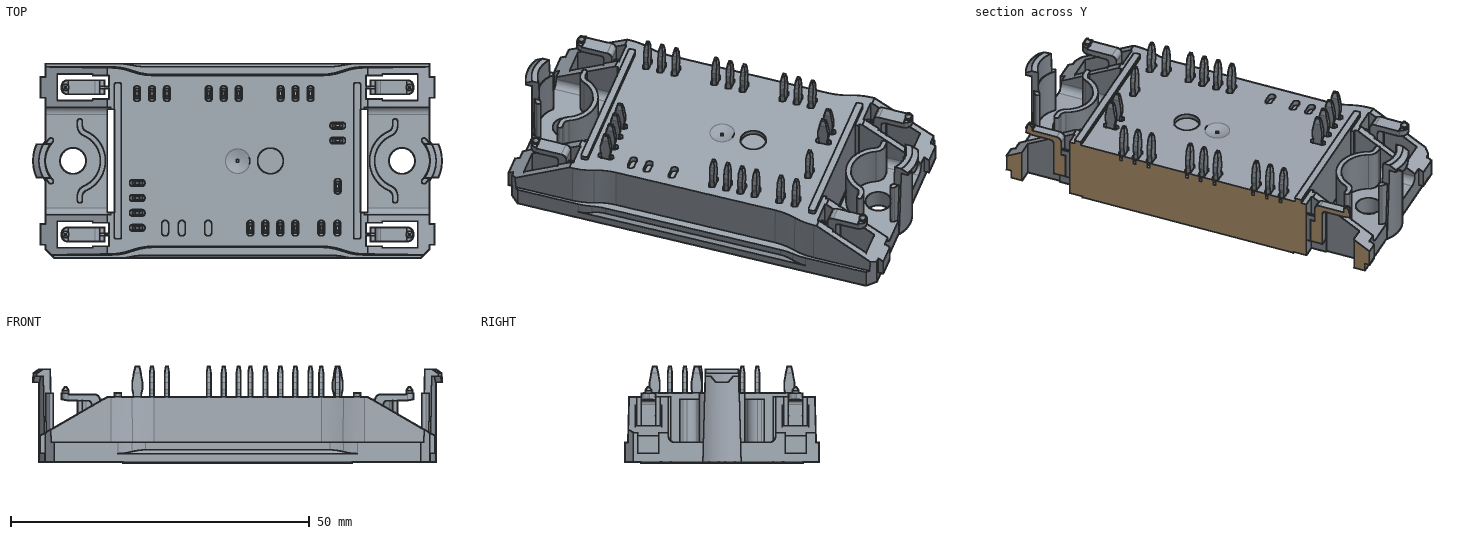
import cadquery as cq
import math

plate_thickness = 0.2
flange_top = 3.5
case_top = 11.13
pin_top = 16.23

plate_length = 38.3
plate_width = 27.1

half_length = 32.1
flange_half_width = 16.25
upper_half_width = 15.75
waist_half_width = 14.45
waist_half_length = 14.0
shoulder_half_length = 21.2
corner_chamfer = 1.45
draft_angle = 1.5
end_allowance = 1.0

recess_depth = flange_half_width - upper_half_width
recess_floor_half_length = 15.4
recess_half_length = 20.0
recess_bottom = 1.65
recess_ledge = 2.27

end_deck_height = 5.15
deck_angle = 30

hole_x = -27.5
hole_diameter = 4.3
bay_half_width = 9.0
bay_inner_x = -21.2
bay_fillet = 1.2
slit_outer_x = -21.75
slit_half_width = 8.6

window_outer_x = -30.1
window_inner_x = -21.5
window_width = 4.4
window_step_x = -24.2
window_neck_width = 3.9
window_y = 12.3

arm_width = 2.4
arm_tip_x = -29.45
arm_top = 11.54
arm_thickness = 1.05
tip_rise = 0.22
tip_bend_x = -28.3
leg_outer_x = -24.4
leg_inner_x = -23.0
leg_bend_inner_radius = 0.6
leg_bend_outer_radius = 0.9
leg_foot_x = -22.2
leg_foot_top = 8.0
arm_tip_radius = 1.1
leg_rib_thickness = 0.4
leg_rib_top = 9.0
peg_x = -28.75
peg_diameter = 1.1
peg_shoulder = 12.15
peg_top = 12.8
peg_tip_diameter = 0.3

tab_reach = 0.87
tab_width = 3.5
tab_bottom = 1.7

latch_inner_radius = 4.7
latch_outer_radius = 5.7
latch_top = 15.75
latch_foot_half_width = 3.2
latch_head_half_width = 2.78
hook_radius = 6.7
hook_bottom = 14.6
hook_edge_top = 15.05
hook_nib_bottom = 13.55
nib_top_half_width = 1.9
nib_bottom_half_width = 1.0
wing_height = 11.75
wing_radius = 5.03
wing_thickness = 0.8
wing_end_y = 3.43
guide_radius = 5.0
guide_thickness = 0.85
guide_top = 10.75
guide_arc_angle = 66.5
guide_bend_radius = 1.4
guide_tail_end = 6.6

ridge_x = 20.0
ridge_width = 1.2
ridge_length = 26.1
ridge_top = 11.8
ridge_corner_radius = 0.35

dish_diameter = 4.1
dish_depth = 0.4
gate_hole_diameter = 0.5
gate_hole_depth = 1.0
pocket_x = 5.5
pocket_diameter = 4.3
pocket_depth = 0.8

socket_length = 2.6
socket_width = 1.15
socket_depth = 1.0
pin_thickness = 0.76
pin_width = 1.4
pin_bulge_width = 1.75
pin_shoulder_width = 1.2
pin_tip_width = 0.7
pin_tip_thickness = 0.4
pin_bulge_start = 11.7
pin_bulge_low = 12.4
pin_bulge_high = 13.6
pin_bulge_end = 14.5
pin_shoulder = 15.2

pin_column_x = 16.75
pin_row_y = 11.25
pins_along_y = (
    [(x, pin_row_y) for x in (-16.8, -14.3, -11.8, -4.8, -2.3, 0.2, 7.2, 9.7, 12.2)]
    + [(x, -pin_row_y) for x in (2.15, 4.65, 7.15, 9.65, 14.0, 16.7)]
    + [(pin_column_x, -4.25)]
)
pins_along_x = (
    [(-pin_column_x, y) for y in (-3.7, -6.2, -8.7, -11.2)]
    + [(pin_column_x, y) for y in (5.9, 3.4)]
)
empty_sockets = [(x, -pin_row_y) for x in (-12.1, -9.3, -4.9)]


def box(x_range, y_range, z_range):
    """Box between two limits along each axis."""
    size = [high - low for low, high in (x_range, y_range, z_range)]
    corner = (x_range[0], y_range[0], z_range[0])
    return cq.Workplane("XY").box(*size, centered=False).translate(corner)


def cylinder(x, y, diameter, z_low, z_high):
    """Upright cylinder."""
    return cq.Workplane("XY", origin=(x, y, z_low)).circle(diameter / 2).extrude(z_high - z_low)


def prism_along_y(points, half_width, y=0):
    """XZ polygon extruded both ways along Y about the given Y."""
    profile = cq.Workplane("XZ", origin=(0, y, 0)).polyline(points).close()
    return profile.extrude(half_width, both=True)


def prism_along_x(points, x_low, x_high):
    """YZ polygon extruded from one X to another."""
    return cq.Workplane("YZ", origin=(x_low, 0, 0)).polyline(points).close().extrude(x_high - x_low)


def both_sides(solid):
    """The solid and its mirror image in the XZ plane."""
    return solid.union(solid.mirror("XZ"))


def both_ends(solid):
    """The solid and its mirror image in the YZ plane."""
    return solid.union(solid.mirror("YZ"))


def deck_height(x):
    """Height of the sloping deck at a place on the -X end."""
    return end_deck_height + (x + half_length) * math.tan(math.radians(deck_angle))


def footprint_block(z_low, z_high):
    """Block with the flange footprint: a rectangle with its two -Y corners cut off."""
    body = box(
        (-half_length, half_length), (-flange_half_width, flange_half_width), (z_low, z_high)
    )
    return body.edges("|Z and <Y").chamfer(corner_chamfer)


def s_curve(sketch, start, end):
    """Two equal arcs between points, running along X at both ends and tangent halfway."""
    step_x = end[0] - start[0]
    step_y = end[1] - start[1]
    radius = (step_x**2 + step_y**2) / (4 * abs(step_y))
    half_sweep = math.atan2(abs(step_y), abs(step_x))
    bulge_x = math.copysign(radius * math.sin(half_sweep), step_x)
    bulge_y = math.copysign(radius * (1 - math.cos(half_sweep)), step_y)
    middle = (start[0] + step_x / 2, start[1] + step_y / 2)
    sketch = sketch.threePointArc((start[0] + bulge_x, start[1] + bulge_y), middle)
    return sketch.threePointArc((end[0] - bulge_x, end[1] - bulge_y), end)


def upper_body():
    """Waisted upper case: drafted long sides that swing in on S curves, upright ends."""
    shoulder_x, shoulder_y = shoulder_half_length, upper_half_width
    waist_x, waist_y = waist_half_length, waist_half_width
    uncut_end_x = half_length + end_allowance

    outline = cq.Workplane("XY", origin=(0, 0, flange_top)).moveTo(-uncut_end_x, shoulder_y)
    outline = outline.lineTo(-shoulder_x, shoulder_y)
    outline = s_curve(outline, (-shoulder_x, shoulder_y), (-waist_x, waist_y))
    outline = outline.lineTo(waist_x, waist_y)
    outline = s_curve(outline, (waist_x, waist_y), (shoulder_x, shoulder_y))
    outline = outline.lineTo(uncut_end_x, shoulder_y).lineTo(uncut_end_x, -shoulder_y)
    outline = outline.lineTo(shoulder_x, -shoulder_y)
    outline = s_curve(outline, (shoulder_x, -shoulder_y), (waist_x, -waist_y))
    outline = outline.lineTo(-waist_x, -waist_y)
    outline = s_curve(outline, (-waist_x, -waist_y), (-shoulder_x, -shoulder_y))
    outline = outline.lineTo(-uncut_end_x, -shoulder_y).close()
    drafted = outline.extrude(case_top - flange_top, taper=draft_angle)
    return drafted.intersect(footprint_block(flange_top, case_top))


def side_recess():
    """Cutter for the grip recess of the +Y side, with a sloping lower ledge."""
    floor_x, floor_y = recess_floor_half_length, flange_half_width - recess_depth
    edge_x, edge_y = recess_half_length, flange_half_width

    outline = cq.Workplane("XY", origin=(0, 0, recess_bottom)).moveTo(-floor_x, floor_y)
    outline = s_curve(outline.lineTo(floor_x, floor_y), (floor_x, floor_y), (edge_x, edge_y))
    outline = outline.lineTo(-edge_x, edge_y)
    outline = s_curve(outline, (-edge_x, edge_y), (-floor_x, floor_y))
    cutter = outline.close().extrude(flange_top - recess_bottom)

    ledge = [(floor_y, recess_bottom), (flange_half_width, recess_bottom), (floor_y, recess_ledge)]
    return cutter.cut(prism_along_x(ledge, -recess_half_length, recess_half_length))


def deck_slope():
    """Cutter that slopes the -X end of the upper case."""
    deck_start_x = -half_length + (case_top - end_deck_height) / math.tan(math.radians(deck_angle))
    points = [
        (-half_length, end_deck_height),
        (deck_start_x, case_top),
        (-half_length, case_top),
    ]
    return prism_along_y(points, flange_half_width)


def screw_bay():
    """Cutter for the open bay, its screw hole and the slit that runs up to the ridge."""
    bay = box(
        (-half_length, bay_inner_x), (-bay_half_width, bay_half_width), (flange_top, case_top)
    )
    bay = bay.edges("|X and <Z").fillet(bay_fillet)
    ridge_outer_x = -ridge_x - ridge_width / 2
    slit = box(
        (slit_outer_x, ridge_outer_x), (-slit_half_width, slit_half_width), (0, case_top)
    )
    return bay.union(slit).union(cylinder(hole_x, 0, hole_diameter, 0, flange_top))


def window():
    """Cutter for the deck window of the +Y arm, narrower around the arm's leg."""
    half_width = window_width / 2
    half_neck = window_neck_width / 2
    opening = box(
        (window_outer_x, window_step_x), (window_y - half_width, window_y + half_width), (0, case_top)
    )
    neck = box(
        (window_step_x, window_inner_x), (window_y - half_neck, window_y + half_neck), (0, case_top)
    )
    return opening.union(neck)


def spring_arm():
    """Bent arm with a pointed peg, carried by a thin rib from the case wall."""
    arm_bottom = arm_top - arm_thickness
    bend_inner_x = leg_outer_x - leg_bend_inner_radius
    arm = (
        cq.Workplane("XZ", origin=(0, window_y, 0))
        .moveTo(arm_tip_x, arm_bottom + tip_rise)
        .lineTo(arm_tip_x, arm_top + tip_rise)
        .lineTo(tip_bend_x, arm_top + tip_rise)
        .lineTo(tip_bend_x, arm_top)
        .lineTo(leg_inner_x - leg_bend_outer_radius, arm_top)
        .tangentArcPoint((leg_inner_x, arm_top - leg_bend_outer_radius), relative=False)
        .lineTo(leg_inner_x, leg_foot_top)
        .lineTo(leg_foot_x, leg_foot_top)
        .lineTo(leg_foot_x, flange_top)
        .lineTo(leg_outer_x, flange_top)
        .lineTo(leg_outer_x, arm_bottom - leg_bend_inner_radius)
        .tangentArcPoint((bend_inner_x, arm_bottom), relative=False)
        .lineTo(tip_bend_x, arm_bottom)
        .close()
        .extrude(arm_width / 2, both=True)
    )
    arm = arm.edges("|Z and <X").fillet(arm_tip_radius)
    rib = box(
        (leg_outer_x, window_inner_x),
        (window_y - leg_rib_thickness / 2, window_y + leg_rib_thickness / 2),
        (flange_top, leg_rib_top),
    )
    peg = cylinder(peg_x, window_y, peg_diameter, arm_top, peg_top)
    tip_chamfer = (peg_diameter - peg_tip_diameter) / 2
    peg = peg.faces(">Z").chamfer(peg_top - peg_shoulder, tip_chamfer)
    return arm.union(rib).union(peg)


def end_tab():
    """Tab on the end face whose top continues the deck slope."""
    tip_x = -half_length - tab_reach
    points = [
        (-half_length, tab_bottom),
        (-half_length, end_deck_height),
        (tip_x, deck_height(tip_x)),
        (tip_x, tab_bottom),
    ]
    return prism_along_y(points, tab_width / 2, window_y)


def ring_about_hole(points):
    """Radius-height polygon revolved about the screw hole axis."""
    profile = cq.Workplane("XZ").polyline(points).close()
    return profile.revolve(360, (0, 0), (0, 1)).translate((hole_x, 0, 0))


def tapered_slice(foot_half_width, foot_z, head_half_width, head_z):
    """Upright wedge on the -X side of the screw hole, used to trim rings."""
    points = [
        (-foot_half_width, foot_z),
        (foot_half_width, foot_z),
        (head_half_width, head_z),
        (-head_half_width, head_z),
    ]
    return prism_along_x(points, hole_x - hook_radius, hole_x)


def latch():
    """Curved latch with an outward hook, a nib below it and two lower wings."""
    wall_and_hook = ring_about_hole([
        (latch_inner_radius, plate_thickness),
        (latch_outer_radius, plate_thickness),
        (latch_outer_radius, hook_bottom),
        (hook_radius, hook_bottom),
        (hook_radius, hook_edge_top),
        (latch_outer_radius, latch_top),
        (latch_inner_radius, latch_top),
    ])
    wall_and_hook = wall_and_hook.intersect(
        tapered_slice(latch_foot_half_width, plate_thickness, latch_head_half_width, latch_top)
    )
    nib = ring_about_hole([
        (latch_inner_radius, hook_nib_bottom),
        (hook_radius, hook_nib_bottom),
        (hook_radius, hook_bottom),
        (latch_inner_radius, hook_bottom),
    ])
    nib = nib.intersect(
        tapered_slice(nib_bottom_half_width, hook_nib_bottom, nib_top_half_width, hook_bottom)
    )
    wing_end_x = hole_x - math.sqrt(wing_radius**2 - wing_end_y**2)
    wings = (
        cq.Workplane("XY", origin=(0, 0, plate_thickness))
        .moveTo(wing_end_x, wing_end_y)
        .threePointArc((hole_x - wing_radius, 0), (wing_end_x, -wing_end_y))
        .offset2D(wing_thickness / 2)
        .extrude(wing_height - plate_thickness)
    )
    return wall_and_hook.union(nib).union(wings)


def guide_wall():
    """Wall that wraps around the screw head and flares into two straight tails."""
    angle = math.radians(guide_arc_angle)
    join = (hole_x + guide_radius * math.cos(angle), guide_radius * math.sin(angle))
    tail_x = join[0] - guide_bend_radius * (1 - math.cos(angle))
    tail_y = join[1] + guide_bend_radius * math.sin(angle)
    path = (
        cq.Workplane("XY", origin=(0, 0, plate_thickness))
        .moveTo(tail_x, guide_tail_end)
        .lineTo(tail_x, tail_y)
        .tangentArcPoint(join, relative=False)
        .threePointArc((hole_x + guide_radius, 0), (join[0], -join[1]))
        .tangentArcPoint((tail_x, -tail_y), relative=False)
        .lineTo(tail_x, -guide_tail_end)
    )
    return path.offset2D(guide_thickness / 2).extrude(guide_top - plate_thickness)


def ridge():
    return (
        cq.Workplane("XY", origin=(-ridge_x, 0, case_top))
        .rect(ridge_width, ridge_length)
        .extrude(ridge_top - case_top)
        .edges("|Z")
        .fillet(ridge_corner_radius)
    )


def dish():
    """Cutter for the shallow spherical mark with a small hole at its centre."""
    half = dish_diameter / 2
    sphere_radius = (half**2 + dish_depth**2) / (2 * dish_depth)
    ball = cq.Workplane("XY").sphere(sphere_radius)
    ball = ball.translate((0, 0, case_top - dish_depth + sphere_radius))
    return ball.union(cylinder(0, 0, gate_hole_diameter, case_top - gate_hole_depth, case_top))


def sockets(points, angle):
    """Cutter for rounded pin sockets at the given points."""
    plane = cq.Workplane("XY", origin=(0, 0, case_top - socket_depth))
    return plane.pushPoints(points).slot2D(socket_length, socket_width, angle).extrude(socket_depth)


def pin():
    """Flat press-fit pin on the Z axis, wide along X, with a tip tapered both ways."""
    width_steps = [
        (pin_width, case_top - socket_depth),
        (pin_width, pin_bulge_start),
        (pin_bulge_width, pin_bulge_low),
        (pin_bulge_width, pin_bulge_high),
        (pin_width, pin_bulge_end),
        (pin_shoulder_width, pin_shoulder),
        (pin_tip_width, pin_top),
    ]
    thickness_steps = [
        (pin_thickness, case_top - socket_depth),
        (pin_thickness, pin_shoulder),
        (pin_tip_thickness, pin_top),
    ]

    def mirrored(steps):
        return [(size / 2, z) for size, z in steps] + [(-size / 2, z) for size, z in reversed(steps)]

    wide_face = prism_along_y(mirrored(width_steps), pin_thickness)
    thin_face = prism_along_x(mirrored(thickness_steps), -pin_bulge_width, pin_bulge_width)
    return wide_face.intersect(thin_face)


def build():
    case = footprint_block(plate_thickness, flange_top).union(upper_body())
    case = case.cut(both_sides(side_recess()))
    case = case.cut(both_ends(deck_slope()))
    case = case.cut(both_ends(screw_bay()))
    case = case.cut(both_ends(both_sides(window())))

    end_features = both_sides(spring_arm()).union(both_sides(end_tab()))
    end_features = end_features.union(latch()).union(guide_wall()).union(ridge())
    case = case.union(both_ends(end_features))

    case = case.cut(dish())
    case = case.cut(cylinder(pocket_x, 0, pocket_diameter, case_top - pocket_depth, case_top))
    case = case.cut(sockets(pins_along_y + empty_sockets, 90)).cut(sockets(pins_along_x, 0))

    pin_along_x = pin()
    pin_along_y = pin_along_x.rotate((0, 0, 0), (0, 0, 1), 90)
    for x, y in pins_along_x:
        case = case.union(pin_along_x.translate((x, y, 0)))
    for x, y in pins_along_y:
        case = case.union(pin_along_y.translate((x, y, 0)))

    plate = cq.Workplane("XY").rect(plate_length, plate_width).extrude(plate_thickness)
    return case.union(plate)


result = build()